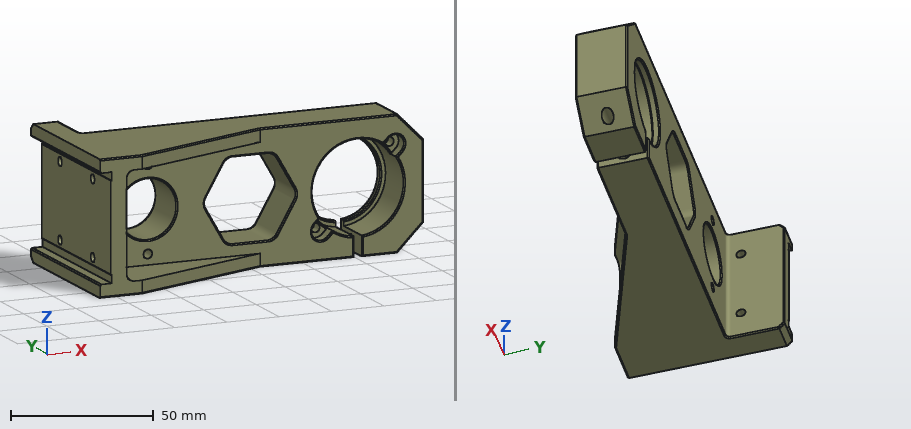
import cadquery as cq
import math

length = 132.5
depth = 60.0
height = 50.0
edge_chamfer = 0.5

flange_thickness = 9.8
rib_end_x = 16.0
taper_end_x = 70.0
arm_front_y = 20.0
arm_back_y = 39.0
inner_corner_radius = 1.5
nose_chamfer = 10.1
flange_corner_chamfer = 2.0

pocket_height = 40.0
pocket_start_x = 10.1
pocket_corner_radius = 3.0

groove_depth = 4.4
groove_pad_height = 0.3
groove_pad_width = 33.9
groove_height = 40.0

window_x = 27.0
window_diameter = 22.0
window_screw_offset = 16.0
screw_diameter = 3.3

hexagon_x = 66.2
hexagon_across_flats = 31.3
hexagon_corner_radius = 4.0

bore_x = 107.5
seat_diameter = 35.0
lip_diameter = 31.0
lip_thickness = 3.0
slit_width = 3.0
ear_diameter = 7.0
ear_depth = 5.0
ear_reach = 8.0
ear_screw_depth = 10.0
clamp_screw_diameter = 4.2
clamp_screw_z = -21.1
clamp_screw_depth = 10.0
bolt_circle_diameter = 40.0

bolt_offset = bolt_circle_diameter / 2 / math.sqrt(2)
cutter_margin = 1.3


def prism_y(sketch, y_start, y_end):
    """Extrude a closed XZ wire, drawn on the workplane at y_start, towards +Y."""
    return sketch.extrude(-(y_end - y_start))


def plane_at(y):
    return cq.Workplane("XZ", origin=(0, y, 0))


def cylinder_y(x, z, diameter, y_start, y_end):
    return prism_y(plane_at(y_start).center(x, z).circle(diameter / 2), y_start, y_end)


def cylinder_x(y, z, diameter, x_start, x_end):
    return (
        cq.Workplane("YZ", origin=(x_start, y, z))
        .circle(diameter / 2)
        .extrude(x_end - x_start)
    )


def make_body():
    """Extruded side profile with its nose, flange corners and broken outer edges."""
    body = (
        cq.Workplane("XY", origin=(0, 0, -height / 2))
        .polyline([
            (0, 0),
            (rib_end_x, 0),
            (taper_end_x, arm_front_y),
            (length, arm_front_y),
            (length, arm_back_y),
            (flange_thickness, arm_back_y),
            (flange_thickness, depth),
            (0, depth),
        ])
        .close()
        .extrude(height)
    )
    inner_corner = cq.selectors.NearestToPointSelector((flange_thickness, arm_back_y, 0))
    body = body.edges(inner_corner).fillet(inner_corner_radius)
    body = body.faces(">X").edges("|Y").chamfer(nose_chamfer)
    body = body.faces(">Y").edges("|X").chamfer(flange_corner_chamfer)

    profile_box = cq.selectors.BoxSelector((1.3, -1.3, -height), (length - nose_chamfer, arm_back_y + 1.3, height))
    nose_box = cq.selectors.BoxSelector((length - nose_chamfer + 1.3, 0, -height), (length + 1.3, depth, height))
    flange_box = cq.selectors.BoxSelector(
        (flange_thickness - 1.3, arm_back_y + 2 * inner_corner_radius, -height),
        (flange_thickness + 1.3, depth + 1.3, height),
    )
    broken = (
        body.faces("<Z or >Z").edges("not |Y").edges(profile_box)
        .add(body.edges("not |Y").edges(nose_box))
        .add(body.edges(flange_box))
    )
    return broken.chamfer(edge_chamfer)


def cut_pocket(body):
    """Front pocket between the ribs, open towards the nose."""
    pocket = (
        plane_at(-cutter_margin)
        .rect(2 * (taper_end_x - pocket_start_x), pocket_height)
        .extrude(-(arm_front_y + cutter_margin))
        .edges("|Y")
        .fillet(pocket_corner_radius)
        .translate((taper_end_x, 0, 0))
    )
    return body.cut(pocket)


def cut_rail_groove(body):
    """Groove across the mounting face with a slightly raised centre pad and mounting holes."""
    groove = cq.Workplane("XY").box(2 * groove_depth, 3 * depth, groove_height)
    pad = (
        cq.Workplane("XY", origin=(groove_depth - groove_pad_height / 2, 0, 0))
        .box(groove_pad_height, 3 * depth, groove_pad_width)
    )
    body = body.cut(groove.cut(pad))
    lip_edges = body.faces("<X").edges("|Y").edges(
        cq.selectors.BoxSelector((-1.3, -1.3, -groove_height / 2 - 0.1), (1.3, depth + 1.3, groove_height / 2 + 0.1))
    )
    body = lip_edges.chamfer(edge_chamfer)
    for y_side in (-1, 1):
        for z_side in (-1, 1):
            y = depth / 2 + y_side * bolt_offset
            body = body.cut(cylinder_x(y, z_side * bolt_offset, screw_diameter, 0, pocket_start_x))
    return body


def rim_cone(x, z, diameter, y, direction):
    """Cone frustum that chamfers a round rim at y; direction points into the material."""
    radius = diameter / 2
    return (
        plane_at(y)
        .center(x, z)
        .circle(radius + edge_chamfer)
        .workplane(offset=-direction * edge_chamfer)
        .circle(radius)
        .loft()
    )


def cut_round_window(body):
    """Round window with broken rims and a screw hole above and below it."""
    body = body.cut(cylinder_y(window_x, 0, window_diameter, arm_front_y, arm_back_y))
    body = body.cut(rim_cone(window_x, 0, window_diameter, arm_front_y, 1))
    body = body.cut(rim_cone(window_x, 0, window_diameter, arm_back_y, -1))
    for z in (-window_screw_offset, window_screw_offset):
        body = body.cut(cylinder_y(window_x, z, screw_diameter, arm_front_y, arm_back_y))
    return body


def hexagon(across_flats, y):
    """Hexagon outline in the plane at y, with a vertex pointing along X."""
    return plane_at(y).center(hexagon_x, 0).polygon(6, across_flats / math.cos(math.pi / 6))


def cut_hexagon_window(body):
    """Hexagonal window with rounded corners and broken rims."""
    window = (
        hexagon(hexagon_across_flats, arm_front_y)
        .extrude(arm_front_y - arm_back_y)
        .edges("|Y")
        .fillet(hexagon_corner_radius)
    )
    body = body.cut(window)
    rims = body.faces("|Y").edges(
        cq.selectors.BoxSelector((hexagon_x - 18.5, 0, -17.2), (hexagon_x + 18.5, depth, 17.2))
    )
    return rims.chamfer(edge_chamfer)


def face_box_at(y):
    """Select the faces that are centred in the plane at y."""
    return cq.selectors.BoxSelector((0, y - 0.1, -height), (length, y + 0.1, height))


def make_ear(side):
    """Pocket cutter for one screw ear: a slot with a round end, running into the bore."""
    angle = 45 if side > 0 else 225
    slot = (
        plane_at(arm_front_y)
        .circle(ear_diameter / 2)
        .extrude(-ear_depth)
    )
    slot = slot.union(
        plane_at(arm_front_y)
        .center(-ear_reach / 2, 0)
        .rect(ear_reach, ear_diameter)
        .extrude(-ear_depth)
    )
    slot = slot.translate((bolt_circle_diameter / 2, 0, 0)).rotate((0, 0, 0), (0, 1, 0), -angle)
    return slot.translate((bore_x, 0, 0))


def cut_clamp(body):
    """Stepped bore with two screw ears and a slit, rims broken, and the clamp screw hole."""
    lip_y = arm_back_y - lip_thickness
    body = body.cut(cylinder_y(bore_x, 0, seat_diameter, arm_front_y, lip_y))
    body = body.cut(cylinder_y(bore_x, 0, lip_diameter, lip_y, arm_back_y))
    body = body.cut(make_ear(1)).cut(make_ear(-1))
    slit = (
        cq.Workplane("XY", origin=(bore_x, (arm_front_y + arm_back_y) / 2, -height / 2))
        .box(slit_width, 2 * depth, height)
    )
    body = body.cut(slit)

    rim_reach = bolt_offset + ear_diameter / 2 + 0.1
    rim_box = cq.selectors.BoxSelector(
        (bore_x - rim_reach, arm_front_y - 0.1, 1.3 - height / 2),
        (bore_x + rim_reach, depth, rim_reach),
    )
    outer_faces = body.faces(face_box_at(arm_front_y)).add(body.faces(face_box_at(arm_back_y)))
    rims = outer_faces.edges(rim_box)
    seat_offset = seat_diameter / 2 / math.sqrt(2)
    for side in (-1, 1):
        floor_edge = (bore_x + side * seat_offset, arm_front_y + ear_depth, side * seat_offset)
        rims = rims.add(body.edges(cq.selectors.NearestToPointSelector(floor_edge)))
    body = rims.chamfer(edge_chamfer)
    body = body.cut(rim_cone(bore_x, 0, lip_diameter, lip_y, 1))

    for side in (-1, 1):
        offset = side * bolt_offset
        screw_end_y = arm_front_y + ear_screw_depth
        body = body.cut(cylinder_y(bore_x + offset, offset, screw_diameter, arm_front_y, screw_end_y))
    clamp_y = depth / 2
    clamp_start_x = bore_x - slit_width / 2 - clamp_screw_depth
    return body.cut(cylinder_x(clamp_y, clamp_screw_z, clamp_screw_diameter, clamp_start_x, length))


result = make_body()
result = cut_pocket(result)
result = cut_rail_groove(result)
result = cut_round_window(result)
result = cut_hexagon_window(result)
result = cut_clamp(result)